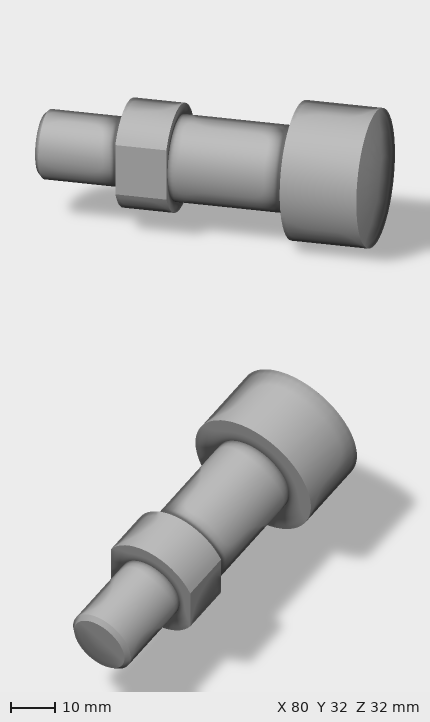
import cadquery as cq

total_length = 80.0
tip_length = 20.0
collar_length = 12.0
shank_length = 28.0
dome_height = 2.0
tip_chamfer = 1.0

tip_diameter = 16.0
collar_diameter = 25.0
shank_diameter = 20.0
head_diameter = 32.0

across_flats = 22.0

collar_start = tip_length
shank_start = collar_start + collar_length
head_start = shank_start + shank_length
dome_start = total_length - dome_height


def cylinder_along_x(start, end, diameter):
    return cq.Workplane("YZ", origin=(start, 0, 0)).circle(diameter / 2).extrude(end - start)


def make_tip():
    tip = cylinder_along_x(0, collar_start, tip_diameter)
    return tip.faces("<X").chamfer(tip_chamfer)


def make_collar():
    """Round collar with a wrench flat on each Y side."""
    collar = cylinder_along_x(collar_start, shank_start, collar_diameter)
    flats = cq.Workplane("YZ", origin=(collar_start, 0, 0))
    flats = flats.rect(across_flats, collar_diameter).extrude(collar_length)
    return collar.intersect(flats)


def make_head():
    """Cylindrical head with a spherical dome, revolved about the X axis."""
    head_radius = head_diameter / 2
    dome_radius = (head_radius**2 + dome_height**2) / (2 * dome_height)
    dome_center_x = total_length - dome_radius
    mid_y = head_radius / 2
    mid_x = dome_center_x + (dome_radius**2 - mid_y**2) ** 0.5
    profile = (
        cq.Workplane("XY")
        .moveTo(head_start, 0)
        .lineTo(head_start, head_radius)
        .lineTo(dome_start, head_radius)
        .threePointArc((mid_x, mid_y), (total_length, 0))
        .close()
    )
    return profile.revolve(360, (0, 0, 0), (1, 0, 0))


shank = cylinder_along_x(shank_start, head_start, shank_diameter)
result = make_tip().union(make_collar()).union(shank).union(make_head())